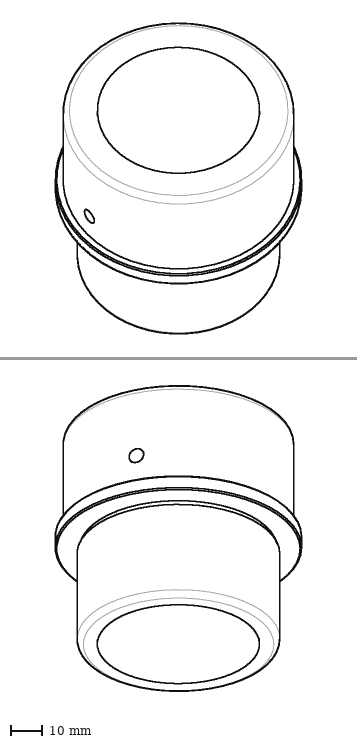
import cadquery as cq

flange_diameter = 79.0
upper_diameter = 74.0
lower_diameter = 65.0
bore_diameter = 52.0
total_height = 75.0

flange_bottom = 35.0
flange_thickness = 5.0
flange_top = flange_bottom + flange_thickness

end_fillet = 2.0
flange_chamfer = 0.5

relief_height = 1.8
relief_depth = 0.8

hole_diameter = 5.0
hole_height = 50.0


def cylinder(diameter, bottom, height):
    return cq.Workplane("XY").workplane(offset=bottom).circle(diameter / 2).extrude(height)


lower_body = cylinder(lower_diameter, 0, flange_top).faces("<Z").edges().fillet(end_fillet)
upper_body = cylinder(upper_diameter, flange_bottom, total_height - flange_bottom)
upper_body = upper_body.faces(">Z").edges().fillet(end_fillet)
flange = cylinder(flange_diameter, flange_bottom, flange_thickness).edges().chamfer(flange_chamfer)

relief = (
    cq.Workplane("XZ")
    .moveTo(lower_diameter / 2, flange_bottom - relief_height)
    .lineTo(lower_diameter / 2 - relief_depth, flange_bottom)
    .lineTo(lower_diameter / 2, flange_bottom)
    .close()
    .revolve(360, (0, 0, 0), (0, 1, 0))
)

bore = cylinder(bore_diameter, 0, total_height)
radial_hole = (
    cq.Workplane("XZ")
    .center(0, hole_height)
    .circle(hole_diameter / 2)
    .extrude(flange_diameter / 2)
)

result = lower_body.cut(relief).union(upper_body).union(flange).cut(bore).cut(radial_hole)